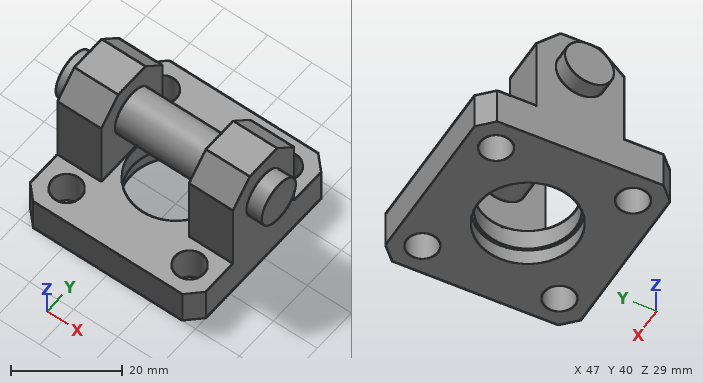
import cadquery as cq

plate_side = 40.0
plate_thickness = 8.0
corner_chamfer = 3.0
hole_diameter = 6.5
hole_pitch = 28.0

bore_diameter = 19.5
recess_diameter = 20.5
recess_depth = 3.5

total_height = 29.0
lug_width = 10.0
lug_depth = 18.0
lug_chamfer = 5.0

pin_diameter = 10.0
pin_length = 47.0
pin_height = 20.0


def make_plate():
    plate = cq.Workplane("XY").box(
        plate_side, plate_side, plate_thickness, centered=(True, True, False)
    )
    return plate.edges("|Z").chamfer(corner_chamfer)


def make_lug(side):
    """Lug flush with the plate's -X (side = -1) or +X (side = 1) face."""
    center_x = side * (plate_side - lug_width) / 2
    lug = (
        cq.Workplane("XY")
        .center(center_x, 0)
        .rect(lug_width, lug_depth)
        .extrude(total_height)
    )
    return lug.faces(">Z").edges("|X").chamfer(lug_chamfer)


def make_pin():
    return (
        cq.Workplane("YZ", origin=(-pin_length / 2, 0, pin_height))
        .circle(pin_diameter / 2)
        .extrude(pin_length)
    )


body = make_plate()
for side in (-1, 1):
    body = body.union(make_lug(side))

mounting_holes = (
    cq.Workplane("XY")
    .rect(hole_pitch, hole_pitch, forConstruction=True)
    .vertices()
    .circle(hole_diameter / 2)
    .extrude(plate_thickness)
)
bore = cq.Workplane("XY").circle(bore_diameter / 2).extrude(plate_thickness)
recess = cq.Workplane("XY").circle(recess_diameter / 2).extrude(recess_depth)
body = body.cut(mounting_holes).cut(bore).cut(recess)

result = body.union(make_pin())